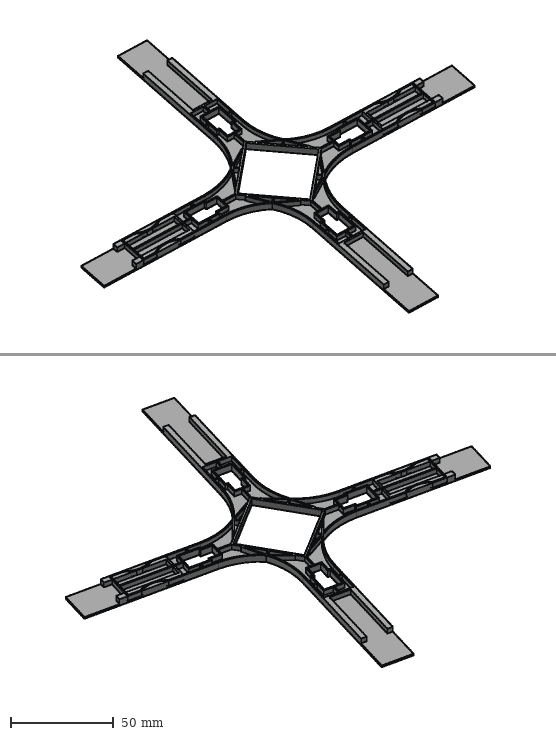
import cadquery as cq
import math

SPAN = 229.2
HEIGHT = 4.1
PLATE = 1.1
WALL = 0.8
ARM_HALF = 9.0

CORNER_START = 39.0
CORNER_RADIUS = 40.0
CORNER_CENTRE = ARM_HALF + CORNER_RADIUS

SQUARE_SIDE = 35.6
SQUARE_WALL = 1.2

WINDOW_NEAR = 34.9
WINDOW_STEP = 41.5
WINDOW_FAR = 53.0
WINDOW_NARROW_HALF = 3.7
WINDOW_WIDE_HALF = 5.1
BRIDGE_POSITION = 46.85

BLOCK_START = 58.4
CROSS_WALL = 1.2
RAIL_END = 94.8
RAIL_INNER_HALF = WINDOW_WIDE_HALF + WALL

TRAY_END = 90.2
BUMP_POSITION = 74.6
BUMP_RADIUS = 13.0
BUMP_DEPTH = 2.4

BRACE_ANGLE = 31.0
BRACE_LENGTH = 14.0

HALF_SPAN = SPAN / 2
X_ARM_ANGLES = (0, 180)
Y_ARM_ANGLES = (90, 270)
ARM_ANGLES = X_ARM_ANGLES + Y_ARM_ANGLES


def turned(shape, angle):
    """Turn a shape about the Z axis through the centre."""
    return shape.rotate((0, 0, 0), (0, 0, 1), angle)


def box(x_min, x_max, half_width, z_min, z_max):
    """Block along the +X arm, centred on the arm."""
    return (
        cq.Workplane("XY", origin=(0, 0, z_min))
        .center((x_min + x_max) / 2, 0)
        .rect(x_max - x_min, 2 * half_width)
        .extrude(z_max - z_min)
    )


def corner_tip(inset):
    """Coordinate, equal in X and Y, where two corner arcs meet on the diagonal."""
    middle = (CORNER_START + CORNER_CENTRE) / 2
    half_offset = (CORNER_CENTRE - CORNER_START) / 2
    return middle - math.sqrt((CORNER_RADIUS + inset) ** 2 / 2 - half_offset**2)


def arc_middle(inset):
    """Point halfway along the corner arc that belongs to the +X arm."""
    radius = CORNER_RADIUS + inset
    half_sweep = math.asin((CORNER_START - corner_tip(inset)) / radius) / 2
    return CORNER_START - radius * math.sin(half_sweep), CORNER_CENTRE - radius * math.cos(half_sweep)


def quarter_turned(point, quarters):
    """Turn a plan point about the centre by a number of quarter turns."""
    x, y = point
    for _ in range(quarters):
        x, y = -y, x
    return x, y


def cross(inset, arm_length, z_min, z_max):
    """Four-armed cross with curved corners, its sides moved inwards by the inset."""
    half = ARM_HALF - inset
    tip = corner_tip(inset)
    mid_x, mid_y = arc_middle(inset)

    outline = cq.Workplane("XY", origin=(0, 0, z_min)).moveTo(arm_length, -half)
    for quarter in range(4):
        arm_corner = quarter_turned((arm_length, half), quarter)
        flare_start = quarter_turned((CORNER_START, half), quarter)
        first_middle = quarter_turned((mid_x, mid_y), quarter)
        meeting = quarter_turned((tip, tip), quarter)
        second_middle = quarter_turned((mid_y, mid_x), quarter)
        flare_end = quarter_turned((half, CORNER_START), quarter)
        next_arm_corner = quarter_turned((half, arm_length), quarter)
        outline = (
            outline.lineTo(*arm_corner)
            .lineTo(*flare_start)
            .threePointArc(first_middle, meeting)
            .threePointArc(second_middle, flare_end)
            .lineTo(*next_arm_corner)
        )
    return outline.close().extrude(z_max - z_min)


def square(side, z_min, z_max):
    """Square column with its corners on the X and Y axes."""
    column = cq.Workplane("XY", origin=(0, 0, z_min)).rect(side, side).extrude(z_max - z_min)
    return turned(column, 45)


def window(offset, z_min, z_max):
    """Stepped window outline of the +X arm, grown outwards by the offset."""
    narrow = box(WINDOW_NEAR - offset, WINDOW_FAR, WINDOW_NARROW_HALF + offset, z_min, z_max)
    wide = box(WINDOW_STEP - offset, WINDOW_FAR + offset, WINDOW_WIDE_HALF + offset, z_min, z_max)
    return narrow.union(wide)


def arm_walls():
    """Window surround, bridges and centre rib of the +X arm, up to the rail block."""
    surround = window(WALL, PLATE, HEIGHT)
    bridge = box(BRIDGE_POSITION, BRIDGE_POSITION + WALL, ARM_HALF, PLATE, HEIGHT)
    rib_start = SQUARE_SIDE / math.sqrt(2)
    rib = box(rib_start, BLOCK_START, WALL / 2, PLATE, HEIGHT)
    return surround.union(bridge).union(rib)


def corner_walls():
    """Diagonal rib and the two slanted braces in the corner between +X and +Y."""
    tip = corner_tip(0)
    rib = turned(box(SQUARE_SIDE / 2, tip * math.sqrt(2), WALL / 2, PLATE, HEIGHT), 45)
    brace = (
        cq.Workplane("XY", origin=(0, 0, PLATE))
        .rect(BRACE_LENGTH, WALL, centered=False)
        .extrude(HEIGHT - PLATE)
        .rotate((0, 0, 0), (0, 0, 1), 180 - BRACE_ANGLE)
        .translate((tip, tip, 0))
    )
    mirrored = brace.mirror("XZ").rotate((0, 0, 0), (0, 0, 1), 90)
    return rib.union(brace).union(mirrored)


def rail_block():
    """Plate, two rails and cross wall on the outer part of the +X arm."""
    block = box(BLOCK_START, RAIL_END, ARM_HALF, 0, HEIGHT)
    channel = box(BLOCK_START + CROSS_WALL, RAIL_END, RAIL_INNER_HALF, PLATE, HEIGHT)
    tongue = box(BLOCK_START, HALF_SPAN, ARM_HALF, 0, PLATE)
    return block.cut(channel).union(tongue)


def tray_outline(inset):
    """Plan of a tray on the +X arm with a round dent in each side."""
    area = box(BLOCK_START, TRAY_END - inset, ARM_HALF - inset, PLATE, HEIGHT)
    dent_centre = ARM_HALF - BUMP_DEPTH + BUMP_RADIUS
    dents = (
        cq.Workplane("XY", origin=(0, 0, PLATE))
        .pushPoints([(BUMP_POSITION, dent_centre), (BUMP_POSITION, -dent_centre)])
        .circle(BUMP_RADIUS + inset)
        .extrude(HEIGHT - PLATE)
    )
    return area.cut(dents)


def tray():
    """Tray side walls, end wall and centre rib on the +X arm."""
    rib = box(BLOCK_START, TRAY_END, WALL / 2, PLATE, HEIGHT)
    return tray_outline(0).cut(tray_outline(WALL)).union(rib)


def make_frame():
    frame = cross(0, BLOCK_START, 0, HEIGHT)
    frame = frame.cut(cross(WALL, BLOCK_START, PLATE, HEIGHT))
    frame = frame.union(square(SQUARE_SIDE + 2 * SQUARE_WALL, 0, HEIGHT))
    for angle in ARM_ANGLES:
        frame = frame.union(turned(arm_walls(), angle))
        frame = frame.union(turned(corner_walls(), angle))
    frame = frame.cut(square(SQUARE_SIDE, 0, HEIGHT))
    for angle in ARM_ANGLES:
        frame = frame.cut(turned(window(0, 0, HEIGHT), angle))
    for angle in X_ARM_ANGLES:
        frame = frame.union(turned(rail_block(), angle))
    for angle in Y_ARM_ANGLES:
        frame = frame.union(turned(tray(), angle))
    return frame


def make_holder(angle):
    return turned(rail_block().cut(tray()), angle)


frame = make_frame()
holders = [make_holder(angle) for angle in Y_ARM_ANGLES]

result = cq.Compound.makeCompound([frame.val(), *[holder.val() for holder in holders]])